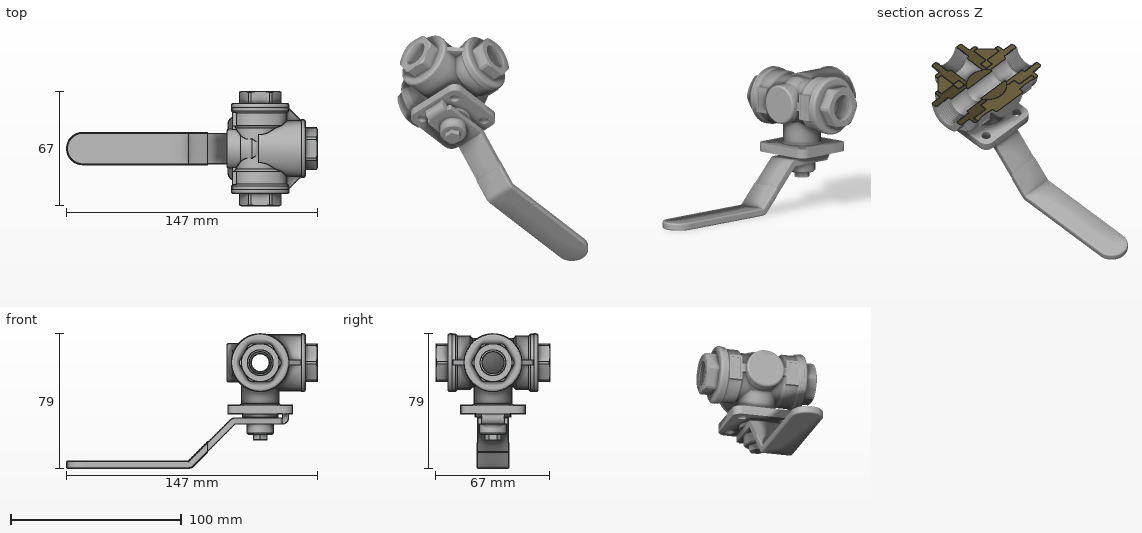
import cadquery as cq
import math


CAP_END = 33.5
CAP_RIM_DIAMETER = 34.0
CAP_RIM_OUTER = 26.5
CAP_SEAM = 24.1
CAP_RIM_FILLET = 1.5
HEX_FLATS = 22.0
HEX_CORNER_DIAMETER = 24.5
HEX_CHAMFER = 0.6
HEX_TURN = 30
CAP_PLUG_DIAMETER = 26.5
CAP_PLUG_END = 14.1
CAP_NOSE_DIAMETER = 17.6
CAP_NOSE_END = 9.0
CAP_BORE_DIAMETER = 13.0
THREAD_MINOR_DIAMETER = 15.1
THREAD_MAJOR_DIAMETER = 17.5
THREAD_PITCH = 1.3
THREAD_COUNT = 8

BALL_DIAMETER = 23.5
BALL_BORE_DIAMETER = 10.5
STEM_DIAMETER = 8.0
STEM_TOP = -10.3
STEM_HEX_FLATS = 8.0
STEM_END = -45.3

CORE_DIAMETER = 28.5
CORE_END = 12.0
BARREL_DIAMETER = 31.5
HOUSING_RIM_DIAMETER = 33.5
HOUSING_RIM_INNER = 21.9
BRANCH_DIAMETER = 33.0
BRANCH_START = -1.0
BOSS_DIAMETER = 22.8
BOSS_FACE = -19.5
BOSS_FILLET = 1.3
SHOULDER_DIAMETER = 29.3
SHOULDER_CONE_START = -11.5
SHOULDER_CONE_END = -4.9
NECK_DIAMETER = 22.0
NECK_FLARE = 0.9
FLANGE_SIDE = 37.9
FLANGE_TOP = -24.8
FLANGE_BOTTOM = -30.0
FLANGE_CORNER_RADIUS = 5.1
FLANGE_HOLE_DIAMETER = 5.5
FLANGE_HOLE_SPACING = 25.5
COLLAR_DIAMETER = 21.0
COLLAR_BOTTOM = -31.9

RIB_THICKNESS = 3.0
RIB_SUM = 40.3
PLATE_FACE = -16.3
PLATE_HEIGHT = 14.8
PLATE_INNER = 13.4
PLATE_OUTER = 21.2
LABEL_HEIGHT = 12.2
LABEL_WIDTH = 5.6
LABEL_DEPTH = 0.3
WEB_HEIGHT = 4.9

LEVER_TOP = -32.3
LEVER_THICKNESS = 3.7
LEVER_WIDTH = 18.0
LEVER_PLATE_END = 12.6
LEVER_CORNER_RADIUS = 1.0
UPPER_BEND_X = -14.8
GRIP_MIDDLE_Z = -59.75
TAB_WIDTH = 13.2
TAB_INNER_X = 13.0
SLEEVE_TIP = -113.5
SLEEVE_END = -30.9
SLEEVE_WIDTH = 19.0
SLEEVE_THICKNESS = 4.4
SLEEVE_FILLET = 1.0

NUT_DIAMETER = 15.6
NUT_BOTTOM = -42.0
NUT_CHAMFER = 0.9

LEVER_BOTTOM = LEVER_TOP - LEVER_THICKNESS
HALF_ROOT = math.sqrt(0.5)
BEND_TANGENT = math.tan(math.radians(22.5))


def along_x(profile):
    """Revolve a closed (x, radius) profile about the X axis."""
    return cq.Workplane("XY").polyline(profile).close().revolve(360, (0, 0, 0), (1, 0, 0))


def x_cylinder(diameter, start, end):
    return cq.Workplane("YZ").workplane(offset=start).circle(diameter / 2).extrude(end - start)


def z_cylinder(diameter, bottom, top):
    return cq.Workplane("XY").workplane(offset=bottom).circle(diameter / 2).extrude(top - bottom)


def box(x_range, y_range, z_range):
    """Axis-aligned box given by its limits."""
    sizes = [high - low for low, high in (x_range, y_range, z_range)]
    corner = cq.Vector(x_range[0], y_range[0], z_range[0])
    return cq.Workplane(cq.Solid.makeBox(*sizes, pnt=corner))


def turned(body, angle):
    """Turn a body about the stem axis."""
    return body.rotate((0, 0, 0), (0, 0, 1), angle)


def make_stem():
    shaft = z_cylinder(STEM_DIAMETER, NUT_BOTTOM, STEM_TOP)
    hex_end = (
        cq.Workplane("XY")
        .workplane(offset=STEM_END)
        .polygon(6, STEM_HEX_FLATS, circumscribed=True)
        .extrude(NUT_BOTTOM - STEM_END)
    )
    return shaft.union(hex_end)


def make_ball(stem):
    bore = x_cylinder(BALL_BORE_DIAMETER, -BALL_DIAMETER, BALL_DIAMETER)
    return cq.Workplane().sphere(BALL_DIAMETER / 2).cut(turned(bore, 90)).cut(stem)


def make_cap_blank():
    """Cap pointing to +X, before its bore is cut."""
    rim = x_cylinder(CAP_RIM_DIAMETER, CAP_SEAM, CAP_RIM_OUTER)
    rim = rim.faces(">X").edges().fillet(CAP_RIM_FILLET)
    plug = x_cylinder(CAP_PLUG_DIAMETER, CAP_PLUG_END, CAP_SEAM)
    nose = x_cylinder(CAP_NOSE_DIAMETER, CAP_NOSE_END, CAP_PLUG_END)
    hexagon = (
        cq.Workplane("YZ")
        .workplane(offset=CAP_RIM_OUTER)
        .polygon(6, HEX_FLATS, circumscribed=True)
        .extrude(CAP_END - CAP_RIM_OUTER)
        .rotate((0, 0, 0), (1, 0, 0), HEX_TURN)
    )
    corner_round = x_cylinder(HEX_CORNER_DIAMETER, CAP_RIM_OUTER, CAP_END)
    corner_round = corner_round.faces(">X").edges().chamfer(HEX_CHAMFER, 2 * HEX_CHAMFER)
    return rim.union(plug).union(nose).union(hexagon.intersect(corner_round))


def make_thread_cutter():
    """Threaded bore as a stack of V grooves around the minor diameter."""
    minor = THREAD_MINOR_DIAMETER / 2
    major = THREAD_MAJOR_DIAMETER / 2
    root = CAP_END - THREAD_COUNT * THREAD_PITCH
    profile = [(root, 0), (root, minor)]
    for turn in range(THREAD_COUNT):
        start = root + turn * THREAD_PITCH
        profile.append((start + THREAD_PITCH / 2, major))
        profile.append((start + THREAD_PITCH, minor))
    profile.append((CAP_END, 0))
    return along_x(profile)


def make_cap(blank):
    bore = x_cylinder(CAP_BORE_DIAMETER, 0, CAP_END)
    seat = turned(cq.Workplane().sphere(BALL_DIAMETER / 2), 180)
    return blank.cut(bore).cut(make_thread_cutter()).cut(seat)


def make_barrel():
    """Side port along +X with its rim, from the housing centre to the cap seam."""
    core = CORE_DIAMETER / 2
    barrel = BARREL_DIAMETER / 2
    rim = HOUSING_RIM_DIAMETER / 2
    profile = [
        (0, 0),
        (0, core),
        (CORE_END, core),
        (CORE_END + barrel - core, barrel),
        (HOUSING_RIM_INNER - rim + barrel, barrel),
        (HOUSING_RIM_INNER, rim),
        (CAP_SEAM, rim),
        (CAP_SEAM, 0),
    ]
    return along_x(profile)


def make_branch():
    """Front port, shoulder and closed boss, all turned about the X axis."""
    boss = BOSS_DIAMETER / 2
    shoulder = SHOULDER_DIAMETER / 2
    branch = BRANCH_DIAMETER / 2
    profile = [
        (BOSS_FACE, 0),
        (BOSS_FACE, boss),
        (SHOULDER_CONE_START, boss),
        (SHOULDER_CONE_END, shoulder),
        (BRANCH_START, shoulder),
        (BRANCH_START, branch),
        (CAP_SEAM, branch),
        (CAP_SEAM, 0),
    ]
    return along_x(profile).faces("<X").edges().fillet(BOSS_FILLET)


def make_flange():
    height = FLANGE_TOP - FLANGE_BOTTOM
    return (
        cq.Workplane("XY")
        .workplane(offset=FLANGE_BOTTOM)
        .rect(FLANGE_SIDE, FLANGE_SIDE)
        .extrude(height)
        .edges("|Z")
        .fillet(FLANGE_CORNER_RADIUS)
        .faces(">Z")
        .workplane()
        .rect(FLANGE_HOLE_SPACING, FLANGE_HOLE_SPACING, forConstruction=True)
        .vertices()
        .hole(FLANGE_HOLE_DIAMETER)
    )


def make_neck():
    neck = z_cylinder(NECK_DIAMETER, FLANGE_TOP, 0)
    base = z_cylinder(NECK_DIAMETER + 2 * NECK_FLARE, FLANGE_TOP, FLANGE_TOP + NECK_FLARE)
    base = base.faces(">Z").edges().chamfer(0.999 * NECK_FLARE)
    collar = z_cylinder(COLLAR_DIAMETER, COLLAR_BOTTOM, FLANGE_TOP)
    return neck.union(base).union(collar)


def make_rib(side):
    """Triangular gusset between the front port and a side port."""
    reach = RIB_SUM - CAP_SEAM
    outline = [
        (0, 0),
        (CAP_SEAM, 0),
        (CAP_SEAM, side * reach),
        (reach, side * CAP_SEAM),
        (0, side * CAP_SEAM),
    ]
    return (
        cq.Workplane("XY")
        .workplane(offset=-RIB_THICKNESS / 2)
        .polyline(outline)
        .close()
        .extrude(RIB_THICKNESS)
    )


def make_label_plate():
    """Label plate on the +Y port with the web that ties it to the boss."""
    plate = box((PLATE_FACE, 0), (PLATE_INNER, PLATE_OUTER), (-PLATE_HEIGHT / 2, PLATE_HEIGHT / 2))
    web = box((PLATE_FACE, 0), (0, PLATE_INNER), (-WEB_HEIGHT / 2, WEB_HEIGHT / 2))
    middle = (PLATE_INNER + PLATE_OUTER) / 2
    label = box(
        (PLATE_FACE, PLATE_FACE + LABEL_DEPTH),
        (middle - LABEL_WIDTH / 2, middle + LABEL_WIDTH / 2),
        (-LABEL_HEIGHT / 2, LABEL_HEIGHT / 2),
    )
    return plate.union(web).cut(label)


def make_housing(cap_blanks, stem):
    barrel = make_barrel()
    housing = make_branch().union(turned(barrel, 90)).union(turned(barrel, -90))
    housing = housing.union(make_neck()).union(make_flange())
    plate = make_label_plate()
    housing = housing.union(plate).union(plate.mirror("XZ"))
    for side in (1, -1):
        housing = housing.union(make_rib(side))
    for blank in cap_blanks:
        housing = housing.cut(blank)
    return housing.cut(cq.Workplane().sphere(BALL_DIAMETER / 2)).cut(stem)


def bent_strip(thickness, width, tip, end):
    """Flat grip rising at 45 degrees to a level plate, drawn in XZ and centred on Y.

    Inner bend corners are sharp; the outer sides are arcs about them.
    """
    extra = (thickness - LEVER_THICKNESS) / 2
    top = LEVER_TOP + extra
    bottom = LEVER_BOTTOM - extra
    grip_top = GRIP_MIDDLE_Z + thickness / 2
    grip_bottom = GRIP_MIDDLE_Z - thickness / 2
    upper_x = UPPER_BEND_X + extra * BEND_TANGENT
    slope_x = upper_x - thickness * HALF_ROOT
    slope_z = bottom + thickness * HALF_ROOT
    lower_x = slope_x - (slope_z - grip_top)
    half_turn = math.radians(22.5)
    across = thickness * math.sin(half_turn)
    along = thickness * math.cos(half_turn)
    return (
        cq.Workplane("XZ")
        .moveTo(tip, grip_top)
        .lineTo(lower_x, grip_top)
        .lineTo(slope_x, slope_z)
        .threePointArc((upper_x - across, bottom + along), (upper_x, top))
        .lineTo(end, top)
        .lineTo(end, bottom)
        .lineTo(upper_x, bottom)
        .lineTo(lower_x + thickness * HALF_ROOT, grip_top - thickness * HALF_ROOT)
        .threePointArc((lower_x + across, grip_top - along), (lower_x, grip_bottom))
        .lineTo(tip, grip_bottom)
        .close()
        .extrude(width / 2, both=True)
    )


def rounded_tip(strip, tip, width):
    """Round the free end of a strip to a half circle."""
    centre = tip + width / 2
    plan = z_cylinder(width, 2 * GRIP_MIDDLE_Z, 0)
    plan = plan.translate((centre, 0, 0))
    straight = box((centre, -centre), (-width / 2, width / 2), (2 * GRIP_MIDDLE_Z, 0))
    return strip.intersect(plan.union(straight))


def make_tab():
    """Stop tab bent up from the lever plate to the flange."""
    outer_x = TAB_INNER_X + LEVER_THICKNESS
    middle = LEVER_THICKNESS * HALF_ROOT
    return (
        cq.Workplane("XZ")
        .moveTo(0, LEVER_TOP)
        .lineTo(TAB_INNER_X, LEVER_TOP)
        .lineTo(TAB_INNER_X, FLANGE_BOTTOM)
        .lineTo(outer_x, FLANGE_BOTTOM)
        .lineTo(outer_x, LEVER_TOP)
        .threePointArc((TAB_INNER_X + middle, LEVER_TOP - middle), (TAB_INNER_X, LEVER_BOTTOM))
        .lineTo(0, LEVER_BOTTOM)
        .close()
        .extrude(TAB_WIDTH / 2, both=True)
    )


def make_lever(stem):
    tip = SLEEVE_TIP + (SLEEVE_WIDTH - LEVER_WIDTH) / 2
    strip = bent_strip(LEVER_THICKNESS, LEVER_WIDTH, tip, LEVER_PLATE_END)
    strip = strip.edges("|Z and >X").fillet(LEVER_CORNER_RADIUS)
    strip = rounded_tip(strip, tip, LEVER_WIDTH)
    return strip.union(make_tab()).cut(stem)


def make_sleeve(lever):
    strip = bent_strip(SLEEVE_THICKNESS, SLEEVE_WIDTH, SLEEVE_TIP, 0)
    strip = rounded_tip(strip, SLEEVE_TIP, SLEEVE_WIDTH)
    strip = strip.faces(">Y or <Y").edges("not(|Z)").fillet(SLEEVE_FILLET)
    cover = strip.intersect(box((SLEEVE_TIP, SLEEVE_END), (-SLEEVE_WIDTH, SLEEVE_WIDTH), (-88.2, 0)))
    return cover.cut(lever)


def make_nut(stem):
    nut = z_cylinder(NUT_DIAMETER, NUT_BOTTOM, LEVER_BOTTOM)
    return nut.faces("<Z").edges().chamfer(NUT_CHAMFER).cut(stem)


stem = make_stem()
ball = make_ball(stem)
cap_blank = make_cap_blank()
port_angles = [0, 90, -90]
housing = make_housing([turned(cap_blank, angle) for angle in port_angles], stem)
cap = make_cap(cap_blank)
caps = [turned(cap, angle) for angle in port_angles]
lever = make_lever(stem)
sleeve = make_sleeve(lever)
nut = make_nut(stem)

result = cq.Compound.makeCompound(
    [
        housing.val(),
        *[port_cap.val() for port_cap in caps],
        ball.val(),
        stem.val(),
        lever.val(),
        sleeve.val(),
        nut.val(),
    ]
)